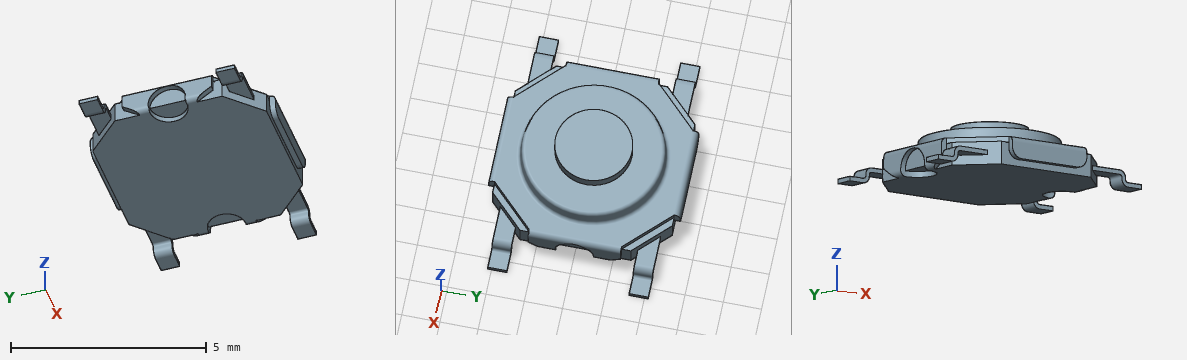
import cadquery as cq
import math

lead_span = 6.6
cover_span = 5.0
total_height = 1.5

sheet = 0.15
body_half = cover_span / 2 - sheet
body_bottom = 0.05
body_chamfer = 0.9

plate_top = 0.8
plate_bottom = plate_top - sheet
tab_half_width = 1.21
plate_chamfer = body_half - tab_half_width
dome_top = 1.2
dome_base_radius = 1.89
dome_draft = 8.0
dome_round = 0.1
button_diameter = 2.0

short_tab_bottom = 0.23
short_tab_corner = 0.3
long_tab_slope_top = 0.34
long_tab_foot_half_width = 0.78
notch_radius = 0.5

lead_thickness = 0.12
lead_width = 0.5
lead_offset_y = 1.85
lead_upper_top = 0.42
lead_inner_bend = 0.08
lead_outer_bend = lead_inner_bend + lead_thickness
lead_foot_flat = 0.44
lead_inner_end = 1.65

tab_root = body_half - 2 * sheet


def octagon(chamfer, z_low, z_high):
    """Square block of the base width with its four upright corners cut off."""
    side = 2 * body_half
    block = cq.Workplane("XY").workplane(offset=z_low).rect(side, side).extrude(z_high - z_low)
    return block.edges("|Z").chamfer(chamfer)


def dome():
    """Drafted dome, filleted at its foot and rounded at its rim."""
    angle = math.radians(dome_draft)
    rim_radius = dome_base_radius - (dome_top - plate_top) * math.tan(angle)
    tangent = dome_round * math.tan((math.pi / 2 - angle) / 2)
    rise = tangent * math.cos(angle)
    inset = tangent * math.sin(angle)
    foot_end = (dome_base_radius + tangent, plate_top)
    wall_low = (dome_base_radius - inset, plate_top + rise)
    wall_high = (rim_radius + inset, dome_top - rise)
    rim_end = (rim_radius - tangent, dome_top)
    return (
        cq.Workplane("XZ")
        .moveTo(0, plate_bottom)
        .lineTo(foot_end[0], plate_bottom)
        .lineTo(*foot_end)
        .radiusArc(wall_low, dome_round)
        .lineTo(*wall_high)
        .radiusArc(rim_end, -dome_round)
        .lineTo(0, dome_top)
        .close()
        .revolve(360, (0, 0), (0, 1))
    )


def button():
    """Round actuator standing on the dome."""
    base = cq.Workplane("XY").workplane(offset=plate_top)
    return base.circle(button_diameter / 2).extrude(total_height - plate_top)


def tab_section():
    """Wall on the +X side, rounded outward at its top and bottom."""
    return (
        cq.Workplane("XZ")
        .moveTo(tab_root, body_bottom)
        .lineTo(body_half, body_bottom)
        .radiusArc((body_half + sheet, body_bottom + sheet), -sheet)
        .lineTo(body_half + sheet, plate_top - sheet)
        .radiusArc((body_half, plate_top), -sheet)
        .lineTo(tab_root, plate_top)
        .close()
        .extrude(tab_half_width, both=True)
    )


def short_tab():
    """Tab on the +X side that ends above the bottom with rounded corners."""
    height = plate_top - short_tab_bottom
    outline = (
        cq.Workplane("YZ")
        .workplane(offset=tab_root)
        .center(0, short_tab_bottom + height / 2)
        .rect(2 * tab_half_width, height)
        .extrude(cover_span)
        .edges("|X and <Z")
        .fillet(short_tab_corner)
    )
    return tab_section().intersect(outline)


def long_tab():
    """Tab on the +X side that tapers down to the bottom of the base."""
    outline = (
        cq.Workplane("YZ")
        .workplane(offset=tab_root)
        .moveTo(-tab_half_width, plate_top)
        .lineTo(-tab_half_width, long_tab_slope_top)
        .lineTo(-long_tab_foot_half_width, body_bottom)
        .lineTo(long_tab_foot_half_width, body_bottom)
        .lineTo(tab_half_width, long_tab_slope_top)
        .lineTo(tab_half_width, plate_top)
        .close()
        .extrude(cover_span)
    )
    return tab_section().intersect(outline)


def tab_notch():
    """Arched opening through the +X tab, continued as a round recess in the bottom."""
    notch_spring = body_bottom + sheet
    face = cq.Workplane("YZ").workplane(offset=body_half)
    arch = face.center(0, notch_spring).circle(notch_radius).extrude(2 * sheet)
    recess = (
        cq.Workplane("XY")
        .workplane(offset=body_bottom)
        .center(body_half, 0)
        .circle(notch_radius)
        .extrude(sheet)
    )
    return arch.union(recess)


def lead():
    """Gull-wing lead on the +X side, centred on the X axis."""
    foot_start = lead_span / 2 - lead_foot_flat
    wall_inner = foot_start - lead_outer_bend
    wall_outer = wall_inner + lead_thickness
    upper_start = wall_outer - lead_outer_bend
    upper_bend_z = lead_upper_top - lead_outer_bend
    tip = lead_span / 2
    return (
        cq.Workplane("XZ")
        .moveTo(tip, 0)
        .lineTo(tip, lead_thickness)
        .lineTo(foot_start, lead_thickness)
        .radiusArc((wall_outer, lead_outer_bend), lead_inner_bend)
        .lineTo(wall_outer, upper_bend_z)
        .radiusArc((upper_start, lead_upper_top), -lead_outer_bend)
        .lineTo(lead_inner_end, lead_upper_top)
        .lineTo(lead_inner_end, lead_upper_top - lead_thickness)
        .lineTo(upper_start, lead_upper_top - lead_thickness)
        .radiusArc((wall_inner, upper_bend_z), lead_inner_bend)
        .lineTo(wall_inner, lead_outer_bend)
        .radiusArc((foot_start, 0), -lead_outer_bend)
        .close()
        .extrude(lead_width / 2, both=True)
    )


def turned(shape, angle):
    """Copy of a shape turned about the Z axis."""
    return shape.rotate((0, 0, 0), (0, 0, 1), angle)


result = octagon(body_chamfer, body_bottom, plate_bottom)
result = result.union(octagon(plate_chamfer, plate_bottom, plate_top))
result = result.union(dome()).union(button())

for angle in (0, 180):
    result = result.union(turned(long_tab(), angle))
    result = result.union(turned(short_tab(), angle + 90))
    result = result.cut(turned(tab_notch(), angle))
    for side in (-1, 1):
        placed_lead = lead().translate((0, side * lead_offset_y, 0))
        result = result.union(turned(placed_lead, angle))